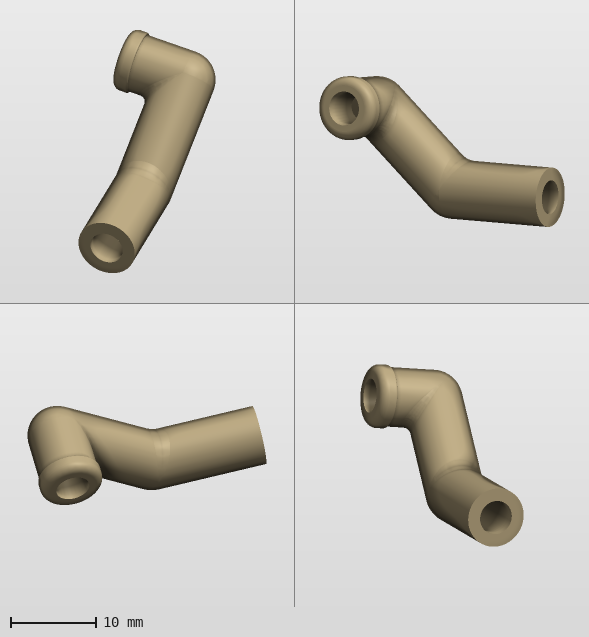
import cadquery as cq
import math

tube_radius = 3.5
inlet_length = 13.03
inlet_drop_angle = 2.0
inlet_yaw_angle = 0.5
riser_length = 14.0
riser_elevation = 37.3
riser_yaw_angle = 7.2
outlet_length = 8.0
outlet_tilt_angle = 9.0

lower_blend_radius = 3.0
upper_blend_radius = 1.0

collar_radius = 3.75
collar_length = 2.0
collar_front_fillet = 1.0
collar_back_fillet = 0.2

inlet_bore_radius = 2.0
inlet_bore_depth = 10.0
outlet_bore_radius = 2.0
outlet_bore_floor_radius = 1.5
outlet_bore_depth = 4.5

tolerance = 1e-3


def direction(elevation, heading):
    """Unit vector raised by `elevation` above XY and turned `heading` from +Y towards +X (degrees)."""
    rise = math.radians(elevation)
    turn = math.radians(heading)
    return cq.Vector(math.cos(rise) * math.sin(turn), math.cos(rise) * math.cos(turn), math.sin(rise))


to_inlet = direction(inlet_drop_angle, 180 - inlet_yaw_angle)
along_riser = direction(riser_elevation, riser_yaw_angle)
to_outlet = direction(outlet_tilt_angle, -90)

lower_elbow = cq.Vector(0, 0, 0)
upper_elbow = lower_elbow + along_riser * riser_length
inlet_end = lower_elbow + to_inlet * inlet_length
outlet_end = upper_elbow + to_outlet * outlet_length


def leg(start, along, length, seam_side):
    """Solid round leg of the tube, with its seam line facing `seam_side`."""
    seam = (seam_side - along * seam_side.dot(along)).normalized()
    return cq.Workplane(cq.Plane(start, seam, along)).circle(tube_radius).extrude(length)


def ball(centre):
    """Sphere that rounds the outer side of an elbow."""
    return cq.Workplane("XY").sphere(tube_radius).translate(centre)


def blend_inner_corner(tube, centre, first_leg, second_leg, blend_radius):
    """Fillet the inner corner of the elbow at `centre`, whose legs leave along the two directions.

    The corner is an ellipse in the mitre plane, the plane that lies midway between the legs.
    """
    mitre_normal = (first_leg - second_leg).normalized()

    def on_corner(edge):
        offset = edge.Center() - centre
        in_mitre_plane = abs(offset.dot(mitre_normal)) < tolerance
        return edge.geomType() == "ELLIPSE" and in_mitre_plane and offset.Length < 2 * tube_radius

    return tube.edges().filter(on_corner).fillet(blend_radius)


def bent_tube():
    """Solid tube of three legs, without the collar end of the outlet."""
    lower_hinge = to_inlet.cross(along_riser)
    upper_hinge = to_outlet.cross(along_riser)
    inlet = leg(inlet_end, to_inlet * -1, inlet_length, lower_hinge)
    riser = leg(lower_elbow, along_riser, riser_length, upper_hinge)
    outlet = leg(upper_elbow, to_outlet, outlet_length - collar_length, upper_hinge)
    tube = inlet.union(riser).union(outlet).union(ball(lower_elbow)).union(ball(upper_elbow))
    tube = blend_inner_corner(tube, lower_elbow, to_inlet, along_riser, lower_blend_radius)
    return blend_inner_corner(tube, upper_elbow, along_riser * -1, to_outlet, upper_blend_radius)


def collar():
    """Solid rounded collar that forms the open end of the outlet."""
    collar_plane = cq.Plane(outlet_end, cq.Vector(0, 1, 0), to_outlet * -1)
    ring = cq.Workplane(collar_plane).circle(collar_radius).extrude(collar_length)
    back_centre = outlet_end - to_outlet * collar_length
    ring = ring.edges(cq.NearestToPointSelector(outlet_end.toTuple())).fillet(collar_front_fillet)
    return ring.edges(cq.NearestToPointSelector(back_centre.toTuple())).fillet(collar_back_fillet)


def inlet_bore():
    """Straight blind bore in the inlet."""
    return cq.Workplane(
        cq.Solid.makeCylinder(inlet_bore_radius, inlet_bore_depth, inlet_end, to_inlet * -1)
    )


def outlet_bore():
    """Blind bore in the outlet, narrowing towards its flat floor."""
    return cq.Workplane(
        cq.Solid.makeCone(
            outlet_bore_radius, outlet_bore_floor_radius, outlet_bore_depth, outlet_end, to_outlet * -1
        )
    )


result = bent_tube().union(collar()).cut(inlet_bore()).cut(outlet_bore())